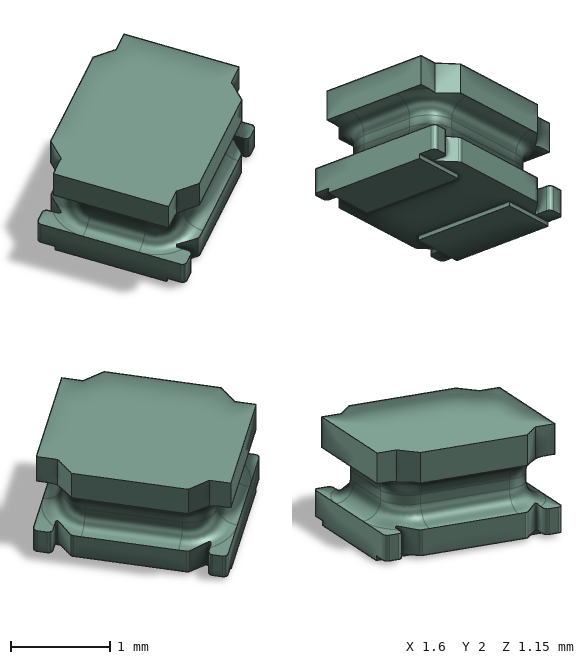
import cadquery as cq

width = 1.6
length = 2.0
height = 1.15

channel_height = 0.5
flare_radius = 0.2
core_corner_radius = 0.3
core_width = width - 2 * flare_radius
core_length = length - 2 * flare_radius
flange_height = (height - channel_height) / 2
channel_middle_z = height / 2

pad_height = 0.05
pad_width = core_width
pad_length = 0.6

cut_depth = 0.18
cut_start = 0.4
ear_length = 0.2
bottom_edge_radius = 0.05
notch_root_radius = 0.015

blank_margin = 0.2

half_width = width / 2
half_length = length / 2
cut_start_y = half_length - cut_start


def blank_flange(bottom_z):
    """Oversized rectangular flange, later trimmed to its outline."""
    return (
        cq.Workplane("XY", origin=(0, 0, bottom_z))
        .rect(width + 2 * blank_margin, length + 2 * blank_margin)
        .extrude(flange_height)
    )


def bobbin_blank():
    """Rounded core between two oversized flanges, with flares at both ends."""
    core = (
        cq.Workplane("XY", origin=(0, 0, flange_height))
        .rect(core_width, core_length)
        .extrude(channel_height)
        .edges("|Z")
        .fillet(core_corner_radius)
    )
    joined = core.union(blank_flange(0)).union(blank_flange(height - flange_height))
    core_region = cq.selectors.BoxSelector(
        (-half_width, -half_length, flange_height / 2),
        (half_width, half_length, height - flange_height / 2),
    )
    return joined.edges(core_region).edges("#Z").fillet(flare_radius)


def all_corners(cutter):
    """Repeat a cutter made for the +X +Y corner at all four corners."""
    pair = cutter.union(cutter.mirror("YZ"))
    return pair.union(pair.mirror("XZ"))


def outline_block(bottom_z, top_z):
    """Block over the full rectangular plan of the part."""
    return (
        cq.Workplane("XY", origin=(0, 0, bottom_z))
        .rect(width, length)
        .extrude(top_z - bottom_z)
    )


def top_outline():
    """Upper half plan: each corner is cut away up to a 45 degree face."""
    corner = (
        cq.Workplane("XY", origin=(0, 0, channel_middle_z))
        .moveTo(half_width, cut_start_y)
        .line(-cut_depth, cut_depth)
        .lineTo(half_width - cut_depth, half_length)
        .lineTo(half_width, half_length)
        .close()
        .extrude(height - channel_middle_z)
    )
    return outline_block(channel_middle_z, height).cut(all_corners(corner))


def bottom_outline():
    """Lower half plan: a 45 degree notch leaves a rounded ear at each corner."""
    notch_extent = cut_start - ear_length
    ear_y = half_length - ear_length
    notch = (
        cq.Workplane("XY", origin=(0, 0, pad_height))
        .moveTo(half_width, cut_start_y)
        .line(-notch_extent, notch_extent)
        .lineTo(half_width, ear_y)
        .close()
        .extrude(channel_middle_z - pad_height)
    )
    block = outline_block(pad_height, channel_middle_z).cut(all_corners(notch))
    inner_region = cq.selectors.BoxSelector(
        (-half_width + cut_depth, -half_length, 0),
        (half_width - cut_depth, half_length, height),
    )
    block = block.edges("|Z").edges(inner_region).fillet(notch_root_radius)
    for side in ("<X", ">X"):
        block = block.edges("|Z").edges(side).fillet(bottom_edge_radius)
    return block


def terminal_pads():
    """Two flat pads flush with the end faces."""
    pad_y = half_length - pad_length / 2
    return (
        cq.Workplane("XY")
        .pushPoints([(0, -pad_y), (0, pad_y)])
        .rect(pad_width, pad_length)
        .extrude(pad_height)
    )


outline = top_outline().union(bottom_outline())
result = bobbin_blank().intersect(outline).union(terminal_pads())